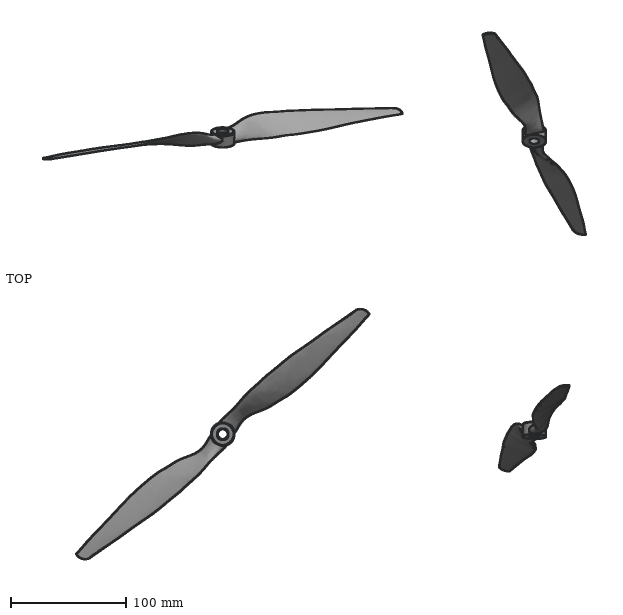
import cadquery as cq
import math

HUB_RADIUS = 10.1
HUB_CHAMFER = 0.8
HUB_HEIGHT = 11.2
BORE_RADIUS = 4.3
COUNTERBORE_RADIUS = 5.0
COUNTERBORE_DEPTH = 3.0

BLADE_ANGLE = 40.5
BLADE_COUNT = 2
SECTION_POINTS = 16

SECTIONS = [
    (2.5, -6.0, 0.5, 9.5, 10.1, 7.5),
    (8.9, -5.8, 0.5, 10.1, 11.0, 7.9),
    (15.2, -3.8, 0.5, 10.5, 13.0, 6.8),
    (22.8, -2.3, 0.5, 11.0, 16.2, 5.0),
    (30.5, -3.3, 0.8, 12.0, 18.0, 4.3),
    (39.3, -6.3, 1.5, 13.0, 18.5, 3.8),
    (45.6, -8.0, 2.3, 13.2, 18.3, 3.5),
    (60.8, -10.6, 3.5, 13.7, 17.0, 3.0),
    (76.0, -11.7, 4.3, 13.5, 15.7, 2.8),
    (91.3, -11.5, 5.0, 13.0, 14.5, 2.5),
    (106.5, -10.1, 6.0, 11.5, 13.2, 2.0),
    (121.7, -8.4, 6.5, 10.1, 12.2, 1.8),
    (137.0, -6.8, 6.8, 8.5, 11.0, 1.5),
    (152.0, -5.0, 6.8, 6.8, 9.6, 1.3),
    (167.3, -3.3, 6.8, 5.3, 8.4, 1.3),
]

TIP_LOW_CORNER = (163.8, -3.3)
TIP_ARC_MIDDLE = (162.2, 3.5)
TIP_HIGH_CORNER = (156.1, 7.0)
TRIM_HALF_WIDTH = 20.3
TRIM_HEIGHT = 25.3


def blade_section(distance, low_edge, low_height, high_edge, high_height, thickness):
    """Slanted ellipse that just fills the box between its low and high edges."""
    half_width = (high_edge - low_edge) / 2
    half_height = (high_height - low_height) / 2
    middle_offset = (high_edge + low_edge) / 2
    middle_height = (high_height + low_height) / 2
    half_chord = math.hypot(half_width, half_height)
    lag = math.asin(thickness / 2 * half_chord / (half_width * half_height))
    points = []
    for i in range(SECTION_POINTS):
        turn = 2 * math.pi * i / SECTION_POINTS
        offset = middle_offset + half_width * math.cos(turn)
        height = middle_height + half_height * math.cos(turn - lag)
        points.append(cq.Vector(distance, offset, height))
    outline = cq.Edge.makeSpline(points, periodic=True)
    return cq.Wire.assembleEdges([outline])


def make_blade():
    """One blade along +X, its end trimmed to the rounded tip outline."""
    blade = cq.Solid.makeLoft([blade_section(*section) for section in SECTIONS])
    trim = (
        cq.Workplane("XY")
        .moveTo(0, -TRIM_HALF_WIDTH)
        .lineTo(TIP_LOW_CORNER[0], -TRIM_HALF_WIDTH)
        .lineTo(*TIP_LOW_CORNER)
        .threePointArc(TIP_ARC_MIDDLE, TIP_HIGH_CORNER)
        .lineTo(TIP_HIGH_CORNER[0], TRIM_HALF_WIDTH)
        .lineTo(0, TRIM_HALF_WIDTH)
        .close()
        .extrude(TRIM_HEIGHT)
    )
    return trim.intersect(cq.Workplane(obj=blade))


hub = cq.Workplane("XY").circle(HUB_RADIUS).extrude(HUB_HEIGHT)
propeller = hub.faces(">Z").chamfer(HUB_CHAMFER)
blade = make_blade()
for i in range(BLADE_COUNT):
    angle = BLADE_ANGLE + 360 / BLADE_COUNT * i
    propeller = propeller.union(blade.rotate((0, 0, 0), (0, 0, 1), angle))

seat_floor = HUB_HEIGHT - COUNTERBORE_DEPTH
bore = cq.Workplane("XY").circle(BORE_RADIUS).extrude(TRIM_HEIGHT)
seat = cq.Workplane("XY").workplane(offset=seat_floor).circle(COUNTERBORE_RADIUS).extrude(TRIM_HEIGHT)

result = propeller.cut(bore).cut(seat)